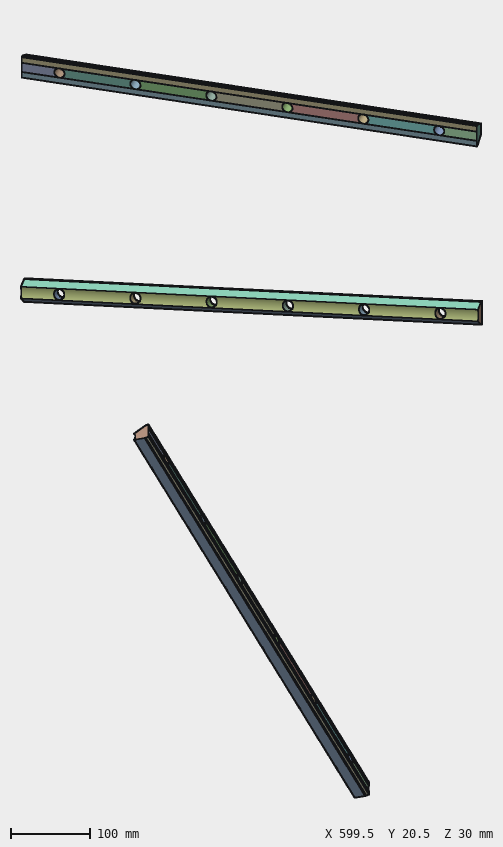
import cadquery as cq
import math

LENGTH = 599.5
DEPTH = 20.46
BASE_HEIGHT = 30.0
FLANGE_THICKNESS = 3.8
CRADLE_HEIGHT = 15.0
SHAFT_RADIUS = 17.0

STEP_DROP = 0.47
STEP_LENGTH = 1.6

RELIEF_HEIGHT = 13.4
RELIEF_DEPTH = 0.4

HOLE_COUNT = 6
HOLE_PITCH = 100.0
HOLE_DIAMETER = 13.5

MOUNT_Y = -DEPTH / 2
BACK_Y = DEPTH / 2


def rail_body():
    """Flanged, tapered bar whose narrow back is hollowed to seat a shaft."""
    half_base = BASE_HEIGHT / 2
    half_step = half_base - STEP_DROP
    half_cradle = CRADLE_HEIGHT / 2
    flange_y = MOUNT_Y + FLANGE_THICKNESS
    taper_start_y = flange_y + STEP_LENGTH
    shaft_axis_y = BACK_Y + math.sqrt(SHAFT_RADIUS**2 - half_cradle**2)
    cradle_bottom_y = shaft_axis_y - SHAFT_RADIUS
    return (
        cq.Workplane("YZ", origin=(-LENGTH / 2, 0, 0))
        .moveTo(MOUNT_Y, -half_base)
        .lineTo(flange_y, -half_base)
        .lineTo(flange_y, -half_step)
        .lineTo(taper_start_y, -half_step)
        .lineTo(BACK_Y, -half_cradle)
        .threePointArc((cradle_bottom_y, 0), (BACK_Y, half_cradle))
        .lineTo(taper_start_y, half_step)
        .lineTo(flange_y, half_step)
        .lineTo(flange_y, half_base)
        .lineTo(MOUNT_Y, half_base)
        .close()
        .extrude(LENGTH)
    )


def mounting_relief():
    """Full-length strip removed from the mounting face."""
    relief_center_y = MOUNT_Y + RELIEF_DEPTH / 2
    strip = cq.Workplane("XY").box(LENGTH, RELIEF_DEPTH, RELIEF_HEIGHT)
    return strip.translate((0, relief_center_y, 0))


def mounting_holes():
    """Row of plain holes running right through the rail along Y."""
    return (
        cq.Workplane("XZ", origin=(0, BACK_Y, 0))
        .rarray(HOLE_PITCH, 1, HOLE_COUNT, 1)
        .circle(HOLE_DIAMETER / 2)
        .extrude(DEPTH)
    )


result = rail_body().cut(mounting_relief()).cut(mounting_holes())